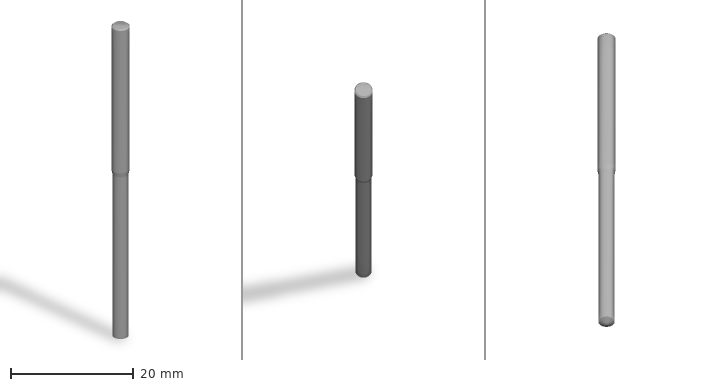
import cadquery as cq
import math

total_length = 60.0
shank_diameter = 3.0
cutter_diameter = 2.7
point_angle = 130.0
top_chamfer = 0.25
shoulder_z = 32.45
taper_end_z = 31.6
joint_z = 31.25

shank_radius = shank_diameter / 2
cutter_radius = cutter_diameter / 2
point_height = cutter_radius / math.tan(math.radians(point_angle / 2))


def revolve_profile(points):
    """Revolve a closed (radius, z) outline around the Z axis."""
    return cq.Workplane("XZ").polyline(points).close().revolve(360, (0, 0), (0, 1))


def make_shank():
    """Clamping shank with a chamfered top, a tapered neck and a short collar."""
    return revolve_profile([
        (0, joint_z),
        (cutter_radius, joint_z),
        (cutter_radius, taper_end_z),
        (shank_radius, shoulder_z),
        (shank_radius, total_length - top_chamfer),
        (shank_radius - top_chamfer, total_length),
        (0, total_length),
    ])


def make_cutter():
    """Straight cutter rod ending in a conical point."""
    return revolve_profile([
        (0, 0),
        (cutter_radius, point_height),
        (cutter_radius, joint_z),
        (0, joint_z),
    ])


shank = make_shank()
cutter = make_cutter()

result = cq.Compound.makeCompound([shank.val(), cutter.val()])